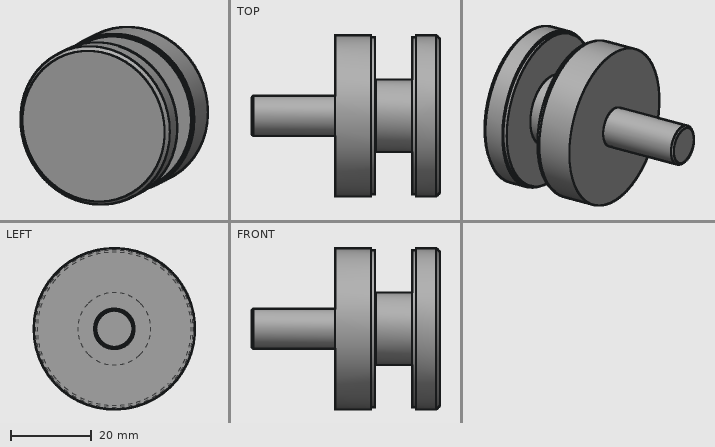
import cadquery as cq

TOTAL_LENGTH = 46.75
DISC_RADIUS = 20.0
STEP_RADIUS = 19.5
STEP_LENGTH = 1.0
NECK_RADIUS = 9.0

STUD_RADIUS = 5.0
STUD_LENGTH = 20.75
STUD_CHAMFER = 0.5
BASE_LENGTH = 9.9
BOSS_LENGTH = 0.15

CAP_LENGTH = 6.95
CAP_CHAMFER = 1.0

BASE_FACE = STUD_LENGTH + BASE_LENGTH
NECK_START = BASE_FACE + BOSS_LENGTH
CAP_FACE = TOTAL_LENGTH - CAP_LENGTH


def cylinder(start, end, radius):
    """Cylinder around the X axis between two stations."""
    return cq.Workplane("YZ").workplane(offset=start).circle(radius).extrude(end - start)


def make_base():
    """Disc with a chamfered stud, and a shallow step and thin boss on its clamping side."""
    step_start = BASE_FACE - STEP_LENGTH
    stud = cylinder(0, STUD_LENGTH, STUD_RADIUS).faces("<X").chamfer(STUD_CHAMFER)
    disc = cylinder(STUD_LENGTH, step_start, DISC_RADIUS)
    step = cylinder(step_start, BASE_FACE, STEP_RADIUS)
    boss = cylinder(BASE_FACE, NECK_START, NECK_RADIUS)
    return stud.union(disc).union(step).union(boss)


def make_cap():
    """Disc with a chamfered outer rim, and a shallow step and neck on its clamping side."""
    step_end = CAP_FACE + STEP_LENGTH
    neck = cylinder(NECK_START, CAP_FACE, NECK_RADIUS)
    step = cylinder(CAP_FACE, step_end, STEP_RADIUS)
    disc = cylinder(step_end, TOTAL_LENGTH, DISC_RADIUS).faces(">X").chamfer(CAP_CHAMFER)
    return neck.union(step).union(disc)


base = make_base()
cap = make_cap()
result = cq.Compound.makeCompound([base.val(), cap.val()])